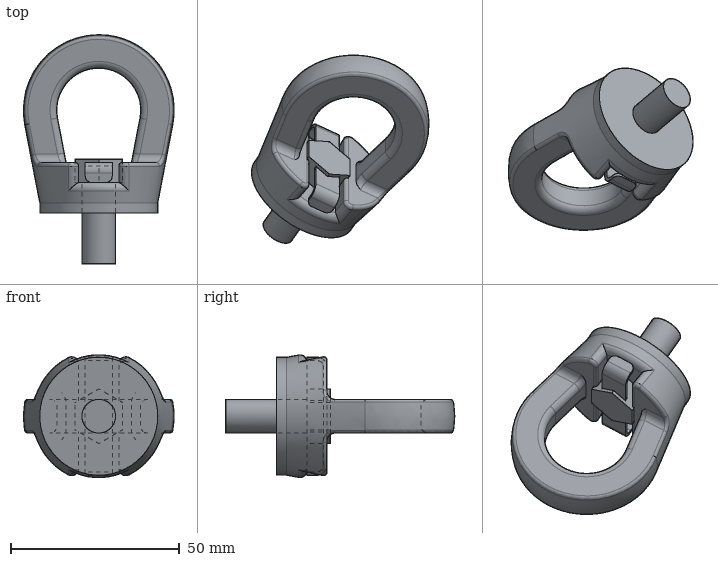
import cadquery as cq
import math


base_radius = 17.51
base_height = 3.0
ring_radius = 22.405
ring_top = 53.0
ring_thickness = 10.0
shoulder_height = 15.0
shoulder_blend = 2.45
edge_round = 1.0

opening_radius = 12.45
opening_round = 2.05

notch_width = 12.0
notch_floor = 9.05
notch_round = 2.05

stud_diameter = 10.0
stud_length = 15.0
head_across_flats = 14.1
head_top = 16.05

clip_width = 8.0
clip_thickness = 1.0
clip_span = 35.1
clip_bend_radius = 3.05
clip_corner_radius = 2.0

ring_center = ring_top - ring_radius
ring_face = ring_thickness / 2

through = 4 * ring_radius

margin = 0.1

cone_length = ring_center - base_height
flare_angle = math.atan2(cone_length, base_radius) - math.acos(
    ring_radius / math.hypot(cone_length, base_radius)
)


def ring_point(radius, angle):
    """Point of a circle about the ring center; the angle counts from +X towards +Y."""
    return (radius * math.cos(angle), ring_center + radius * math.sin(angle))


def turned(outline):
    """Close an outline of the XY plane and turn it about the Y axis."""
    return outline.close().revolve(360, (0, 0), (0, 1))


def edges_where(body, accept):
    """Edges of a body whose center passes the test, without the edges parallel to X."""
    return body.newObject([e for e in body.edges("not |X").vals() if accept(e.Center())])


def turned_blank():
    """Base, cone and the ball that the cone touches."""
    return turned(
        cq.Workplane("XY")
        .lineTo(base_radius, 0)
        .lineTo(base_radius, base_height)
        .lineTo(*ring_point(ring_radius, -flare_angle))
        .threePointArc(ring_point(ring_radius, math.pi / 4), (0, ring_top))
    )


def through_block(width, bottom, top):
    """Block through the whole eye along Z, centered on the Y axis."""
    return (
        cq.Workplane("XY")
        .center(0, (bottom + top) / 2)
        .rect(width, top - bottom)
        .extrude(through / 2, both=True)
    )


def side_relief(side):
    """Space beside the flat ring, above the shoulder, on one Z side."""
    face = side * ring_face
    return (
        cq.Workplane("YZ")
        .moveTo(through, face)
        .lineTo(shoulder_height + shoulder_blend, face)
        .radiusArc((shoulder_height, face + side * shoulder_blend), side * shoulder_blend)
        .lineTo(shoulder_height, side * through)
        .lineTo(through, side * through)
        .close()
        .extrude(through, both=True)
    )


def with_flat_ring(body):
    """Cut a body back to the flat ring above the shoulder."""
    for side in (-1, 1):
        body = body.cut(side_relief(side))
    return body


def rounded_blank():
    """Turned blank with its flat ring, rounded all along the ring and shoulder edges."""
    blank = with_flat_ring(turned_blank())
    rim = edges_where(blank, lambda center: abs(center.z) > ring_face - margin)
    return rim.fillet(edge_round)


def teardrop(bottom):
    """Sharp-edged opening down to the height `bottom`, its legs parallel to the flare."""
    leg_x, leg_y = ring_point(opening_radius, -flare_angle)
    foot_x = leg_x - (leg_y - bottom) * math.tan(flare_angle)
    return (
        cq.Workplane("XY")
        .moveTo(foot_x, bottom)
        .lineTo(leg_x, leg_y)
        .threePointArc((0, ring_center + opening_radius), (-leg_x, leg_y))
        .lineTo(-foot_x, bottom)
        .close()
        .extrude(through / 2, both=True)
    )


def opening():
    """Opening with flared edges that run out on the shoulder.

    The edges are rounded on a wide block with a deeper opening; the space then missing from the
    block above the shoulder is the opening.
    """
    width = 3 * opening_radius
    block = with_flat_ring(through_block(width, 0, ring_top)).cut(teardrop(base_height))
    edges = edges_where(
        block,
        lambda center: abs(center.x) < opening_radius
        and center.y > shoulder_height - margin
        and abs(center.z) > ring_face - margin,
    )
    rounded_block = edges.fillet(opening_round)
    return with_flat_ring(through_block(width, shoulder_height, ring_top)).cut(rounded_block)


def rounded_quarter():
    """The +X +Z quarter of the eye with its notch, all edges rounded but those of the opening."""
    quadrant = cq.Workplane("XY").box(through, through, through, centered=False)
    quarter = with_flat_ring(turned_blank()).intersect(quadrant)
    quarter = quarter.cut(teardrop(shoulder_height))
    quarter = quarter.cut(through_block(notch_width, notch_floor, shoulder_height))

    outer_z = 0.9 * base_radius
    mouth = edges_where(
        quarter,
        lambda center: center.z > outer_z and notch_floor - margin < center.y < shoulder_height - margin,
    )
    quarter = mouth.fillet(notch_round)

    rim = edges_where(
        quarter,
        lambda center: center.z > outer_z and center.y > shoulder_height - margin,
    )
    return rim.fillet(edge_round)


def notches(blank):
    """What the notches take from the rounded blank, mirrored from one quarter."""
    corner = cq.Workplane("XY").box(notch_width, shoulder_height, through, centered=False)
    removed = blank.intersect(corner).cut(rounded_quarter())
    removed = removed.union(removed.mirror("XY"), clean=False)
    return removed.union(removed.mirror("YZ"), clean=False).clean()


def screw_blank():
    """Stud and hexagonal head, one corner of the hexagon towards +Z."""
    stud = cq.Workplane("XZ").circle(stud_diameter / 2).extrude(stud_length + notch_floor)
    stud = stud.translate((0, notch_floor, 0))
    across_corners = head_across_flats / math.cos(math.pi / 6)
    head = (
        cq.Workplane("XZ", origin=(0, notch_floor, 0))
        .transformed(rotate=(0, 0, 90))
        .polygon(6, across_corners)
        .extrude(notch_floor - head_top)
    )
    return stud.union(head)


def clip_outline(half_span, top, bend_radius):
    """Solid below the clip's outer or inner bend line, before the tabs are trimmed."""
    return (
        cq.Workplane("YZ")
        .moveTo(notch_floor, -half_span)
        .lineTo(top - bend_radius, -half_span)
        .radiusArc((top, bend_radius - half_span), -bend_radius)
        .lineTo(top, half_span - bend_radius)
        .radiusArc((top - bend_radius, half_span), -bend_radius)
        .lineTo(notch_floor, half_span)
        .close()
        .extrude(clip_width / 2, both=True)
    )


def make_clip():
    """U-shaped strip with one round-cornered tab on each Z side."""
    half_span = clip_span / 2
    outside = clip_outline(half_span, shoulder_height, clip_bend_radius)
    inside = clip_outline(
        half_span - clip_thickness,
        shoulder_height - clip_thickness,
        clip_bend_radius - clip_thickness,
    )
    return outside.cut(inside).edges("|Z and <Y").fillet(clip_corner_radius)


def make_eye():
    """Eye with its notches and opening, and the pocket and bore for the screw."""
    blank = rounded_blank()
    return blank.cut(notches(blank)).cut(opening()).cut(screw_blank())


clip = make_clip().solids()
screw = screw_blank().cut(clip).solids()
eye = make_eye().solids()

result = cq.Compound.makeCompound([*eye.vals(), *screw.vals(), *clip.vals()])